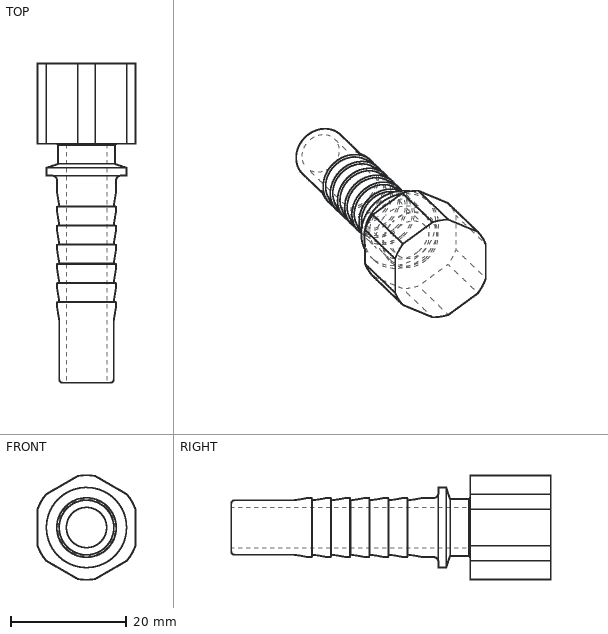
import cadquery as cq

total_length = 55.4

nut_length = 13.95
nut_across_flats = 17.0
nut_corner_diameter = 18.15

neck_radius = 9.9 / 2
neck_flare = 0.2

collar_radius = 13.9 / 2
collar_cone_start = 17.45
collar_rim_start = 18.1
collar_rim_end = 19.5
collar_fillet = 0.8

barb_radius = 10.3 / 2
tail_radius = 9.5 / 2
tail_round = 0.55
first_taper_start = 22.25
tail_start = 44.65
taper_length = 2.5
step_length = 0.1
taper_count = 7
taper_pitch = (tail_start - taper_length - first_taper_start) / (taper_count - 1)

bore_diameter = 7.0
bore_depth = total_length - nut_length


def along(distance):
    """Y position at a distance from the outer nut face."""
    return total_length / 2 - distance


def make_nut():
    """Hexagonal prism with two flats facing +X and -X, trimmed by a cylinder."""
    plane = cq.Workplane("XZ", origin=(0, along(0), 0))
    hexagon = plane.polygon(6, nut_across_flats, circumscribed=True).extrude(nut_length)
    corner_cylinder = plane.circle(nut_corner_diameter / 2).extrude(nut_length)
    return hexagon.intersect(corner_cylinder)


def make_stem():
    """Revolved neck, collar, barbs and tail."""
    profile = (
        cq.Workplane("XY")
        .moveTo(0, along(nut_length))
        .lineTo(neck_radius + neck_flare, along(nut_length))
        .lineTo(neck_radius, along(nut_length + neck_flare))
        .lineTo(neck_radius, along(collar_cone_start))
        .lineTo(collar_radius, along(collar_rim_start))
        .lineTo(collar_radius, along(collar_rim_end))
        .lineTo(barb_radius + collar_fillet, along(collar_rim_end))
        .radiusArc((barb_radius, along(collar_rim_end + collar_fillet)), -collar_fillet)
    )
    for index in range(taper_count):
        taper_start = first_taper_start + index * taper_pitch
        taper_end = taper_start + taper_length
        profile = profile.lineTo(barb_radius, along(taper_start))
        profile = profile.lineTo(tail_radius, along(taper_end))
        if index < taper_count - 1:
            profile = profile.lineTo(barb_radius, along(taper_end + step_length))
    profile = (
        profile.lineTo(tail_radius, along(total_length - tail_round))
        .radiusArc((tail_radius - tail_round, along(total_length)), tail_round)
        .lineTo(0, along(total_length))
        .close()
    )
    return profile.revolve(360, (0, 0, 0), (0, 1, 0))


def make_bore():
    """Cylinder removed from the tail end."""
    plane = cq.Workplane("XZ", origin=(0, along(total_length), 0))
    return plane.circle(bore_diameter / 2).extrude(-bore_depth)


result = make_nut().union(make_stem()).cut(make_bore())